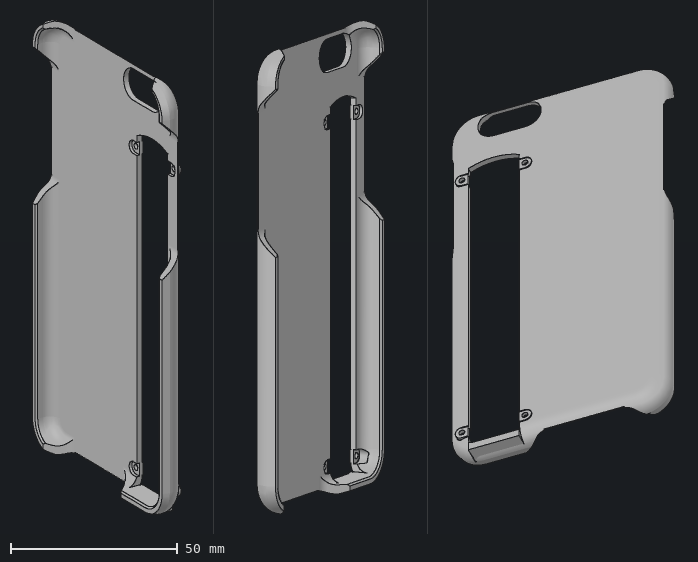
import cadquery as cq
import math

CLEARANCE = 1.4

WIDTH = 71.4
HEIGHT = 141.9
DEPTH = 8.5
CORNER_R = 10.0
PAD_RISE = 0.3
BACK_Y = DEPTH / 2 - PAD_RISE
FRONT_Y = -DEPTH / 2
BACK_ROUND = 5.7
LIP_LEAN = 0.7
LIP_DEPTH = 2.4

PLATE = 2.0
FLOOR_Y = BACK_Y - PLATE
SIDE_WALL = 2.8
TOP_WALL = 2.3
BOTTOM_WALL = 2.8
RIM_BEVEL = 0.5
CAVITY_ROUND = 3.7

OPENING_BEND = 4.3
SIDE_OPENING = (17.0, 52.2)
TOP_OPENING = (-21.3, 21.3)
BOTTOM_OPENING = (-21.3, 4.7)
OPENING_REACH = 14.2
EDGE_TRIM = 1.7

CAMERA_X = 15.2
CAMERA_Z = 62.5
CAMERA_LENGTH = 20.5
CAMERA_HEIGHT = 10.2

SLOT_LEFT = 12.0
SLOT_RIGHT = 28.5
SLOT_SHOULDER_Z = 46.5
SLOT_CROWN_Z = 48.4
SLOT_STEP = 0.1
SLOT_BOTTOM_Z = -HEIGHT / 2 + BOTTOM_WALL + SLOT_STEP
SLOT_CENTER = (SLOT_LEFT + SLOT_RIGHT) / 2
SLOT_OUTLINE_ROUND = 1.4
FOOT_HEIGHT = 4.3
FOOT_INSET = 0.3

SCREW_OFFSET = 10.2
SCREW_ZS = (-63.0, 42.1)
SCREW_D = 1.8
SEAT_R = 2.1
SEAT_DEPTH = 1.0


def plane_at(y):
    """Sketch plane at depth y with local axes X and Z; it extrudes towards -Y."""
    return cq.Workplane("XZ", origin=(0, y, 0))


def rounded_block(side_inset, top_inset, bottom_inset, back_y, front_y, back_round):
    """Block inset from the outer faces, with round corners and a rounded back edge."""
    width = WIDTH - 2 * side_inset
    height = HEIGHT - top_inset - bottom_inset
    block = (
        plane_at(back_y)
        .center(0, (bottom_inset - top_inset) / 2)
        .rect(width, height)
        .extrude(back_y - front_y)
    )
    block = block.edges("|Y").fillet(CORNER_R - side_inset)
    return block.faces(">Y").edges().fillet(back_round)


def outer_body():
    body = rounded_block(0, 0, 0, BACK_Y, FRONT_Y, BACK_ROUND)
    return body.faces("<Y").chamfer(LIP_DEPTH, LIP_LEAN)


def cavity_block(back_y, back_round):
    """Block with the cavity's outline, from back_y to the front edge."""
    return rounded_block(SIDE_WALL, TOP_WALL, BOTTOM_WALL, back_y, FRONT_Y, back_round)


def tray():
    """Hollowed case with a bevelled mouth, before the wall openings."""
    cavity = cavity_block(FLOOR_Y, CAVITY_ROUND)
    body = outer_body().union(slot_foot()).cut(cavity)
    mouth = body.faces("<Y").wires(cq.selectors.LengthNthSelector(0)).edges()
    return mouth.chamfer(RIM_BEVEL)


def opening(span):
    """Trough along Z with 45 degree flanks, open to the front; span is its flat floor in X."""
    start, end = span
    rise = FLOOR_Y - FRONT_Y + CLEARANCE
    bend_run = OPENING_BEND * math.tan(math.pi / 8)
    low = start - bend_run
    high = end + bend_run
    trough = (
        cq.Workplane("XY")
        .moveTo(low, FLOOR_Y)
        .lineTo(high, FLOOR_Y)
        .lineTo(high + rise, FLOOR_Y - rise)
        .lineTo(low - rise, FLOOR_Y - rise)
        .close()
        .extrude(OPENING_REACH + CLEARANCE)
    )
    return trough.faces(">Y").edges("|Z").fillet(OPENING_BEND)


def openings():
    top = opening(TOP_OPENING).translate((0, 0, HEIGHT / 2 - OPENING_REACH))
    bottom = opening(BOTTOM_OPENING).translate((0, 0, -HEIGHT / 2 - CLEARANCE))
    side = opening(SIDE_OPENING).rotate((0, 0, 0), (0, 1, 0), -90)
    right = side.translate((WIDTH / 2 + CLEARANCE, 0, 0))
    left = side.translate((OPENING_REACH - WIDTH / 2, 0, 0))
    return [top, bottom, left, right]


def edge_trims():
    """Slivers that square off the plate edges along the openings."""
    side_low, side_high = SIDE_OPENING
    side_z = (side_low + side_high) / 2
    trims = (
        plane_at(BACK_Y)
        .pushPoints([(-WIDTH / 2, side_z), (WIDTH / 2, side_z)])
        .rect(2 * EDGE_TRIM, side_high - side_low)
        .extrude(DEPTH)
    )
    for (low, high), z in ((TOP_OPENING, HEIGHT / 2), (BOTTOM_OPENING, -HEIGHT / 2)):
        trim = plane_at(BACK_Y).center((low + high) / 2, z).rect(high - low, 2 * EDGE_TRIM).extrude(DEPTH)
        trims = trims.union(trim)
    return trims


def camera_hole():
    return (
        plane_at(BACK_Y + CLEARANCE)
        .center(CAMERA_X, CAMERA_Z)
        .slot2D(CAMERA_LENGTH, CAMERA_HEIGHT)
        .extrude(DEPTH)
    )


def long_slot():
    cavity_outline = cavity_block(BACK_Y + 2 * SLOT_OUTLINE_ROUND, SLOT_OUTLINE_ROUND)
    return (
        plane_at(BACK_Y + CLEARANCE)
        .moveTo(SLOT_LEFT, SLOT_BOTTOM_Z)
        .lineTo(SLOT_LEFT, SLOT_SHOULDER_Z)
        .threePointArc((SLOT_CENTER, SLOT_CROWN_Z), (SLOT_RIGHT, SLOT_SHOULDER_Z))
        .lineTo(SLOT_RIGHT, SLOT_BOTTOM_Z)
        .close()
        .extrude(DEPTH + 2 * CLEARANCE)
        .intersect(cavity_outline)
    )


def slot_foot():
    return (
        plane_at(BACK_Y)
        .center(SLOT_CENTER, -HEIGHT / 2 + FOOT_INSET + FOOT_HEIGHT / 2)
        .rect(SLOT_RIGHT - SLOT_LEFT, FOOT_HEIGHT)
        .extrude(BACK_ROUND)
    )


def seat(side, screw_x, z, back_y, front_y):
    """Round-ended pad reaching from a screw to the slot; side is -1 left or +1 right of the slot."""
    thickness = back_y - front_y
    reach = SCREW_OFFSET - (SLOT_RIGHT - SLOT_LEFT) / 2
    disc = plane_at(back_y).center(screw_x, z).circle(SEAT_R).extrude(thickness)
    neck = plane_at(back_y).center(screw_x - side * reach / 2, z).rect(reach, 2 * SEAT_R).extrude(thickness)
    return disc.union(neck)


case = tray()
for trough in openings():
    case = case.cut(trough)
case = case.cut(edge_trims())

for side in (-1, 1):
    screw_x = SLOT_CENTER + side * SCREW_OFFSET
    for z in SCREW_ZS:
        case = case.union(seat(side, screw_x, z, BACK_Y + PAD_RISE, BACK_Y - PLATE / 2))
        case = case.cut(seat(side, screw_x, z, FLOOR_Y + SEAT_DEPTH, FLOOR_Y - SEAT_R))
        screw_hole = plane_at(BACK_Y + CLEARANCE).center(screw_x, z).circle(SCREW_D / 2).extrude(DEPTH)
        case = case.cut(screw_hole)

result = case.cut(long_slot()).cut(camera_hole())